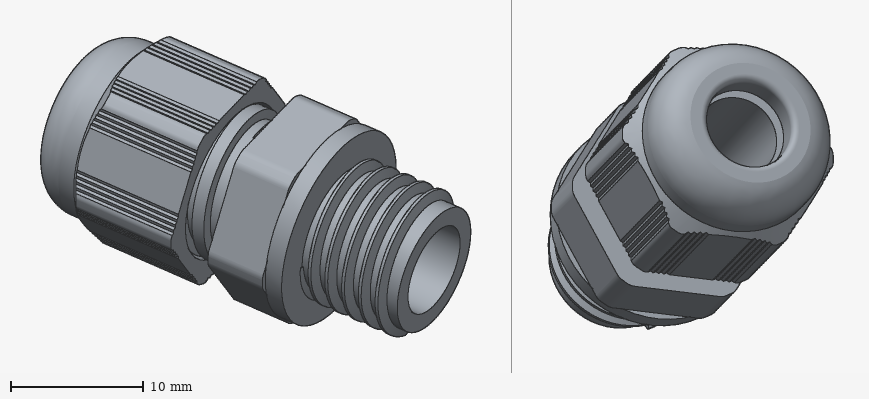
import cadquery as cq
import math


LIP_END = 2.2
COLLAR_END = 4.3
NECK_START = 6.42
CAP_END = 13.87
HEX_START = 17.15
WASHER_START = 22.05
WASHER_END = 23.55
TOTAL_LENGTH = 32.1

COLLAR_DIA = 14.4
FRONT_FACE_DIA = 9.6
DOME_RADIUS = 3.02
LIP_BORE_DIA = 6.78
LIP_ROUND = 0.5
CAP_ACROSS_FLATS = 15.05
CAP_CORNER_DIA = 16.85
CAP_EDGE_ROUND = 0.65
CAP_CHAMFER_LENGTH = 1.03
CHAMFER_OVERRUN = 0.32
CAP_REAR_BORE_DIA = 12.8

GROOVE_START = 1.73
GROOVE_END = 3.47
GROOVES_PER_SIDE = 4
GROOVE_FLANK_ANGLE = 30
GROOVE_PITCH = (GROOVE_END - GROOVE_START) / GROOVES_PER_SIDE
GROOVE_DEPTH = GROOVE_PITCH / 2 * math.tan(math.radians(GROOVE_FLANK_ANGLE))

SEAL_START = 3.18
SEAL_END = 13.8
SEAL_OUTER_DIA = 8.45
SEAL_BORE_DIA = 6.33

BODY_ACROSS_FLATS = 15.0
BODY_CORNER_DIA = 16.7
BODY_EDGE_ROUND = 1.0
NECK_DIA = 10.82
SHANK_DIA = 10.2
BODY_BORE_DIA = 7.22

NECK_PITCH = 2.05
NECK_TURNS = 2.5
NECK_THREAD_DIA = 12.4
NECK_ROOT_WIDTH = 1.22
NECK_CREST_WIDTH = 1.05
NECK_THREAD_END = 16.4
RUNOUT_START_ANGLE = 69
RUNOUT_LAND_ANGLE = 9
RUNOUT_LAND_DIA = 10.92
RUNOUT_REACH = 1.35

SHANK_PITCH = 1.5
SHANK_THREAD_DIA = 11.7
SHANK_ROOT_WIDTH = 0.93
SHANK_CREST_WIDTH = 0.25
SHANK_THREAD_START = 23.18
SHANK_FULL_TURNS = 5
SHANK_LAST_TURN_ANGLE = 65

WASHER_DIA = 15.9

THREAD_EMBED = 0.1
HEX_SIDES = 6
SIDE_ANGLE = 360 / HEX_SIDES

TOP_ANGLE = 90
MINUS_Y_ANGLE = 180


def cylinder(dia, start, end):
    return cq.Workplane("YZ", origin=(start, 0, 0)).circle(dia / 2).extrude(end - start)


def rounded_hex(across_flats, corner_dia, edge_round, start, end):
    """Hexagonal prism with corners on the Y axis, turned to the corner diameter and rounded."""
    sharp_dia = across_flats / math.cos(math.pi / HEX_SIDES)
    prism = cq.Workplane("YZ", origin=(start, 0, 0)).polygon(HEX_SIDES, sharp_dia).extrude(end - start)
    return prism.intersect(cylinder(corner_dia, start, end)).edges("|X").fillet(edge_round)


def thread_ridge(start_x, start_angle, turns, pitch, root_dia, crest_dia, root_width, crest_width):
    """Right-hand helical ridge about X; the angle is measured from +Y towards +Z."""
    root = root_dia / 2
    height = crest_dia / 2 - root
    flank_growth = THREAD_EMBED * (root_width - crest_width) / height
    base = root - THREAD_EMBED
    half_base = (root_width + flank_growth) / 2
    half_crest = crest_width / 2
    profile = cq.Workplane("XZ").polyline([
        (base, -half_base),
        (crest_dia / 2, -half_crest),
        (crest_dia / 2, half_crest),
        (base, half_base),
    ]).close()
    helix = cq.Wire.makeHelix(pitch, pitch * turns, root)
    ridge = profile.sweep(cq.Workplane(obj=helix), isFrenet=True)
    ridge = ridge.rotate((0, 0, 0), (1, 1, 1), 120)
    return ridge.rotate((0, 0, 0), (1, 0, 0), start_angle).translate((start_x, 0, 0))


def cap_outside():
    collar_radius = COLLAR_DIA / 2
    face_radius = FRONT_FACE_DIA / 2
    centre_radius = collar_radius - DOME_RADIUS
    dome_length = math.sqrt(DOME_RADIUS**2 - (face_radius - centre_radius) ** 2)
    mid_angle = math.atan2(face_radius - centre_radius, dome_length) / 2 + math.pi / 4
    dome_mid = (
        dome_length - DOME_RADIUS * math.cos(mid_angle),
        centre_radius + DOME_RADIUS * math.sin(mid_angle),
    )
    corner_radius = CAP_CORNER_DIA / 2
    chamfer_end = COLLAR_END + CAP_CHAMFER_LENGTH
    slope = (corner_radius - collar_radius) / CAP_CHAMFER_LENGTH
    clear_radius = corner_radius + CHAMFER_OVERRUN * slope
    envelope = (
        cq.Workplane("XY")
        .moveTo(0, 0)
        .lineTo(0, face_radius)
        .threePointArc(dome_mid, (dome_length, collar_radius))
        .lineTo(COLLAR_END, collar_radius)
        .lineTo(chamfer_end + CHAMFER_OVERRUN, clear_radius)
        .lineTo(CAP_END, clear_radius)
        .lineTo(CAP_END, 0)
        .close()
        .revolve(360, (0, 0, 0), (1, 0, 0))
    )
    hexagon = rounded_hex(CAP_ACROSS_FLATS, CAP_CORNER_DIA, CAP_EDGE_ROUND, COLLAR_END, CAP_END)
    return envelope.intersect(hexagon.union(cylinder(COLLAR_DIA, 0, CAP_END)))


def groove_cutter(side):
    """Row of V grooves beside the middle of the top flat; side is +1 or -1 along Y."""
    flat = CAP_ACROSS_FLATS / 2
    row = [(side * GROOVE_START, flat)]
    for index in range(GROOVES_PER_SIDE):
        start = GROOVE_START + index * GROOVE_PITCH
        row.append((side * (start + GROOVE_PITCH / 2), flat - GROOVE_DEPTH))
        row.append((side * (start + GROOVE_PITCH), flat))
    row.append((row[-1][0], flat + GROOVE_DEPTH))
    row.append((row[0][0], flat + GROOVE_DEPTH))
    return cq.Workplane("YZ", origin=(COLLAR_END, 0, 0)).polyline(row).close().extrude(CAP_END - COLLAR_END)


def cut_grooves(cap):
    for index in range(HEX_SIDES):
        for side in (1, -1):
            cap = cap.cut(groove_cutter(side).rotate((0, 0, 0), (1, 0, 0), index * SIDE_ANGLE))
    return cap


def make_cap_nut():
    cap = cut_grooves(cap_outside())
    cap = cap.cut(cylinder(LIP_BORE_DIA, 0, LIP_END))
    cap = cap.faces("<X").edges(cq.selectors.RadiusNthSelector(0)).fillet(LIP_ROUND)
    cap = cap.cut(cylinder(SEAL_OUTER_DIA, LIP_END, NECK_START))
    return cap.cut(cylinder(CAP_REAR_BORE_DIA, NECK_START, CAP_END))


def make_seal():
    return cylinder(SEAL_OUTER_DIA, SEAL_START, SEAL_END).cut(cylinder(SEAL_BORE_DIA, SEAL_START, SEAL_END))


def point_from_top(radius, angle):
    """Y and Z of a point at this angle from +Z towards +Y."""
    turn = math.radians(angle)
    return radius * math.sin(turn), radius * math.cos(turn)


def runout_cutter():
    """Material above the last stretch of the neck ridge, which sinks to a low land at its end."""
    crest = NECK_THREAD_DIA / 2
    land = RUNOUT_LAND_DIA / 2
    clear = NECK_THREAD_DIA
    mid_angle = (RUNOUT_START_ANGLE + RUNOUT_LAND_ANGLE) / 2
    start_x = NECK_THREAD_END - RUNOUT_REACH
    return (
        cq.Workplane("YZ", origin=(start_x, 0, 0))
        .moveTo(*point_from_top(clear, 0))
        .lineTo(*point_from_top(land, 0))
        .threePointArc(
            point_from_top(land, RUNOUT_LAND_ANGLE / 2),
            point_from_top(land, RUNOUT_LAND_ANGLE),
        )
        .threePointArc(
            point_from_top((crest + land) / 2, mid_angle),
            point_from_top(crest, RUNOUT_START_ANGLE),
        )
        .lineTo(*point_from_top(clear, RUNOUT_START_ANGLE))
        .lineTo(clear, clear)
        .close()
        .extrude(HEX_START - start_x)
    )


def neck_thread():
    """Neck ridge ending at the top, where it runs out towards the neck surface."""
    start_x = NECK_THREAD_END - NECK_TURNS * NECK_PITCH
    start_angle = TOP_ANGLE - 360 * NECK_TURNS
    ridge = thread_ridge(
        start_x, start_angle, NECK_TURNS, NECK_PITCH, NECK_DIA, NECK_THREAD_DIA,
        NECK_ROOT_WIDTH, NECK_CREST_WIDTH,
    )
    return ridge.cut(runout_cutter())


def shank_thread():
    """Shank ridge starting at the washer face."""
    turns = SHANK_FULL_TURNS + SHANK_LAST_TURN_ANGLE / 360
    ridge = thread_ridge(
        SHANK_THREAD_START, MINUS_Y_ANGLE, turns, SHANK_PITCH, SHANK_DIA, SHANK_THREAD_DIA,
        SHANK_ROOT_WIDTH, SHANK_CREST_WIDTH,
    )
    return ridge.cut(cylinder(WASHER_DIA, HEX_START, WASHER_END))


def make_body():
    body = rounded_hex(BODY_ACROSS_FLATS, BODY_CORNER_DIA, BODY_EDGE_ROUND, HEX_START, WASHER_START)
    body = body.union(cylinder(NECK_DIA, NECK_START, HEX_START))
    body = body.union(cylinder(SHANK_DIA, WASHER_START, TOTAL_LENGTH))
    body = body.union(neck_thread()).union(shank_thread())
    body = body.cut(cylinder(BODY_BORE_DIA, NECK_START, TOTAL_LENGTH))
    return body.cut(cylinder(SEAL_OUTER_DIA, NECK_START, SEAL_END))


def make_washer():
    return cylinder(WASHER_DIA, WASHER_START, WASHER_END).cut(cylinder(SHANK_DIA, WASHER_START, WASHER_END))


cap_nut = make_cap_nut()
seal = make_seal()
body = make_body()
washer = make_washer()

result = cq.Compound.makeCompound([
    cap_nut.solids().val(),
    seal.solids().val(),
    body.solids().val(),
    washer.solids().val(),
])